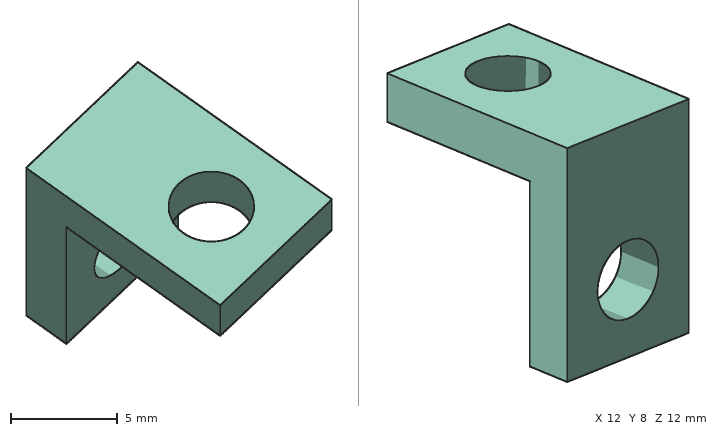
import cadquery as cq

LEG_LENGTH = 12.0
WIDTH = 8.0
THICKNESS = 2.5
HOLE_DIAMETER = 4.0
HOLE_END_DISTANCE = 4.0

HOLE_OFFSET = LEG_LENGTH - HOLE_END_DISTANCE


def angle_body():
    """L-shaped body with its outer corner edge on the Y axis, centred in Y."""
    outline = [
        (0, 0),
        (LEG_LENGTH, 0),
        (LEG_LENGTH, -THICKNESS),
        (THICKNESS, -THICKNESS),
        (THICKNESS, -LEG_LENGTH),
        (0, -LEG_LENGTH),
    ]
    return cq.Workplane("XZ").polyline(outline).close().extrude(WIDTH / 2, both=True)


def top_hole():
    """Cutter for the hole through the horizontal leg."""
    return (
        cq.Workplane("XY")
        .center(HOLE_OFFSET, 0)
        .circle(HOLE_DIAMETER / 2)
        .extrude(-THICKNESS)
    )


def side_hole():
    """Cutter for the hole through the vertical leg."""
    return (
        cq.Workplane("YZ")
        .center(0, -HOLE_OFFSET)
        .circle(HOLE_DIAMETER / 2)
        .extrude(THICKNESS)
    )


result = angle_body().cut(top_hole()).cut(side_hole())